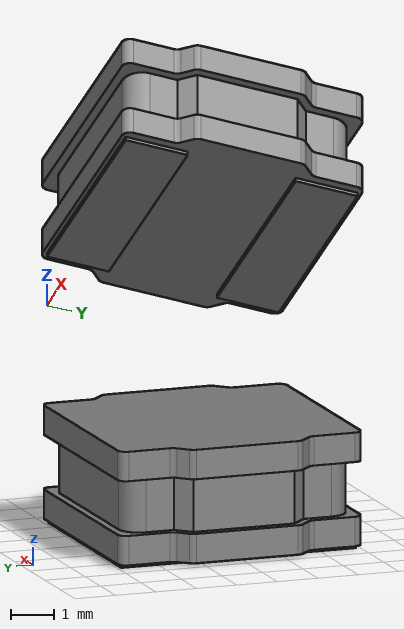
import cadquery as cq
import math

length = 6.0
height = 2.8

flange_width = 5.29
tab_length = 2.675
corner_radius = 0.21
flange_thickness = 0.7

core_inset = 0.21
core_corner_radius = 0.5

pad_thickness = 0.095
pad_inner_gap = 2.7
pad_end_margin = 0.1
pad_length = (length - pad_inner_gap) / 2 - pad_end_margin
pad_width = flange_width - 2 * corner_radius

core_height = height - pad_thickness - 2 * flange_thickness
core_bottom = pad_thickness + flange_thickness
top_flange_bottom = core_bottom + core_height


def tabbed_block(inset, bottom, thickness):
    """Extrude the flange outline, moved inward by inset, with sharp corners."""
    half_length = length / 2 - inset
    half_width = flange_width / 2 - inset
    corner_shift = inset * math.tan(math.radians(22.5))
    tab_tip = tab_length / 2 - corner_shift
    tab_root = tab_tip + half_length - half_width
    outline = [
        (half_width, half_length),
        (half_width, tab_root),
        (half_length, tab_tip),
        (half_length, -tab_tip),
        (half_width, -tab_root),
        (half_width, -half_length),
        (-half_width, -half_length),
        (-half_width, -tab_root),
        (-half_length, -tab_tip),
        (-half_length, tab_tip),
        (-half_width, tab_root),
        (-half_width, half_length),
    ]
    return cq.Workplane("XY").workplane(offset=bottom).polyline(outline).close().extrude(thickness)


def flange(bottom):
    """Flange plate with every upright edge rounded."""
    return tabbed_block(0, bottom, flange_thickness).edges("|Z").fillet(corner_radius)


def core():
    """Recessed core with only its four main corners rounded."""
    block = tabbed_block(core_inset, core_bottom, core_height)
    return block.faces("<Y or >Y").edges("|Z").fillet(core_corner_radius)


def pads():
    """Two terminal pads, one near each Y end."""
    pad_offset = (pad_inner_gap + pad_length) / 2
    return (
        cq.Workplane("XY")
        .pushPoints([(0, -pad_offset), (0, pad_offset)])
        .rect(pad_width, pad_length)
        .extrude(pad_thickness)
    )


result = flange(pad_thickness).union(core()).union(flange(top_flange_bottom)).union(pads())